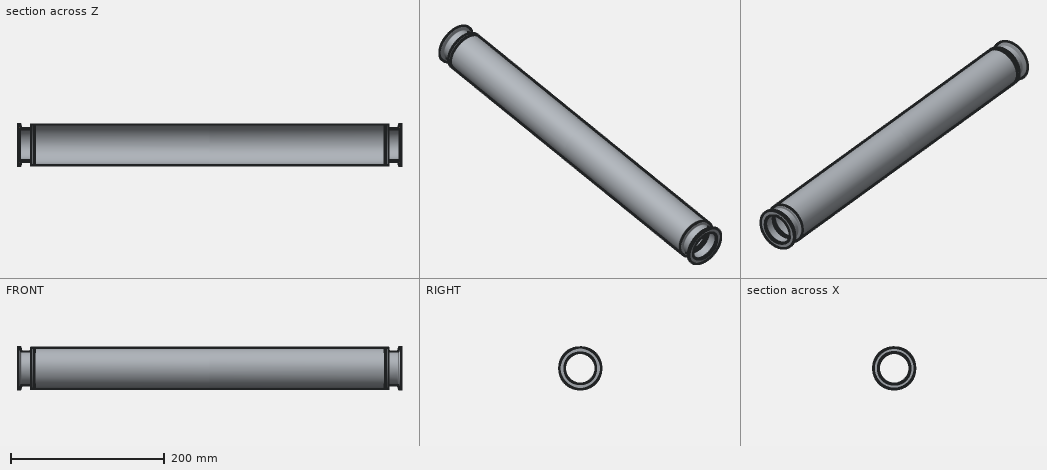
import cadquery as cq
import math


length = 500.0
flange_radius = 55.0 / 2
sleeve_radius = 54.0 / 2
end_face = -length / 2

rim_thickness = 2.9
rim_fillet = 0.8
cone_angle = 15.0
recess_radius = 41.2 / 2
recess_depth = 2.2

neck_radius = 44.5 / 2
bore_radius = 40.2 / 2
neck_end = 16.7
neck_fillet = 0.7

wall = 0.3
crest_width = 3.5
groove_width = 1.3
groove_radius = 21.2
crest_fillet = 1.0
root_fillet = 0.6

cone_end = rim_thickness + (flange_radius - neck_radius) * math.tan(math.radians(cone_angle))
crest_end = neck_end + crest_width
groove_end = crest_end + groove_width

inner_neck_end = neck_end + wall
inner_crest_end = crest_end - wall
inner_groove_end = groove_end + wall
inner_sleeve_radius = sleeve_radius - wall
inner_groove_radius = groove_radius - wall
inner_crest_fillet = crest_fillet - wall
inner_root_fillet = root_fillet + wall


def add_rounded_corner(profile, before, corner, after, radius):
    """Draw up to a corner and around it with an arc tangent to both of its sides."""
    point = cq.Vector(*corner)
    to_before = (cq.Vector(*before) - point).normalized()
    to_after = (cq.Vector(*after) - point).normalized()
    half_angle = to_before.getAngle(to_after) / 2
    tangent_length = radius / math.tan(half_angle)
    corner_to_arc = radius / math.sin(half_angle) - radius
    arc_start = point + to_before * tangent_length
    arc_middle = point + (to_before + to_after).normalized() * corner_to_arc
    arc_end = point + to_after * tangent_length
    profile = profile.lineTo(arc_start.x, arc_start.y)
    return profile.threePointArc((arc_middle.x, arc_middle.y), (arc_end.x, arc_end.y))


def half_hose(corners):
    """Revolve the -X half about X; corners are (distance from end face, radius, fillet)."""
    path = [(end_face, 0)]
    path += [(end_face + distance, -radius) for distance, radius, _ in corners]
    path += [(0, -corners[-1][1]), (0, 0)]
    fillets = [0] + [fillet for _, _, fillet in corners] + [0, 0]

    profile = cq.Workplane("XY").moveTo(*path[0])
    for i in range(1, len(path)):
        if fillets[i]:
            profile = add_rounded_corner(profile, path[i - 1], path[i], path[i + 1], fillets[i])
        else:
            profile = profile.lineTo(*path[i])
    return profile.close().revolve(360, (0, 0, 0), (1, 0, 0))


def outer_body():
    """Solid of the outside: flange, neck, fold and sleeve."""
    return half_hose([
        (0, flange_radius, 0),
        (rim_thickness, flange_radius, rim_fillet),
        (cone_end, neck_radius, neck_fillet),
        (neck_end, neck_radius, neck_fillet),
        (neck_end, sleeve_radius, crest_fillet),
        (crest_end, sleeve_radius, crest_fillet),
        (crest_end, groove_radius, root_fillet),
        (groove_end, groove_radius, root_fillet),
        (groove_end, sleeve_radius, crest_fillet),
    ])


def inner_cavity():
    """Solid of the inside: recess, bore, fold and sleeve."""
    return half_hose([
        (0, recess_radius, 0),
        (recess_depth, recess_radius, 0),
        (recess_depth, bore_radius, 0),
        (inner_neck_end, bore_radius, inner_root_fillet),
        (inner_neck_end, inner_sleeve_radius, inner_crest_fillet),
        (inner_crest_end, inner_sleeve_radius, inner_crest_fillet),
        (inner_crest_end, inner_groove_radius, inner_root_fillet),
        (inner_groove_end, inner_groove_radius, inner_root_fillet),
        (inner_groove_end, inner_sleeve_radius, inner_crest_fillet),
    ])


half = outer_body().cut(inner_cavity())
result = half.union(half.mirror("YZ"))